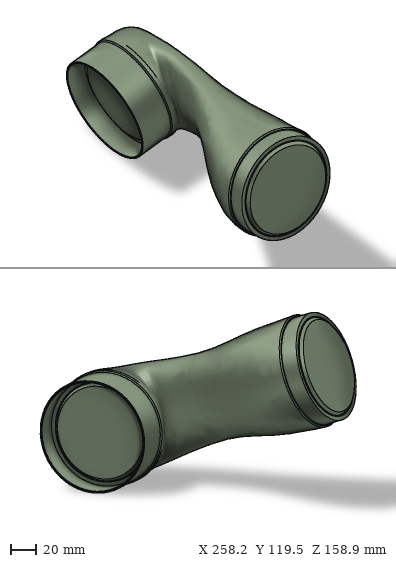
import cadquery as cq

TURN_ANGLE = -7.0
TILT_ANGLE = -20.0

SOCKET_RADIUS = 45.7
SOCKET_WALL = 1.5
SOCKET_LENGTH = 29.5
SOCKET_DEPTH = 18.0
MOUTH_CHAMFER = 0.5

COLLAR_RADIUS = 46.7
COLLAR_LENGTH = 4.5
COLLAR_END_Y = SOCKET_LENGTH + COLLAR_LENGTH

SPIGOT_RADIUS = SOCKET_RADIUS - SOCKET_WALL
SPIGOT_LENGTH = 13.7
SPIGOT_END_X = 208.5
SPIGOT_AXIS_Y = 21.2

RIM_RADIUS = 46.0
RIM_THICKNESS = 1.3
RIM_END_X = SPIGOT_END_X - SPIGOT_LENGTH
RIM_START_X = RIM_END_X - RIM_THICKNESS

SHOULDER_CHAMFER = 1.0

PLUG_RADIUS = 40.0
PLUG_CHAMFER = 2.3
PLUG_PROTRUSION = 2.5
SEAT_DEPTH = 10.3
SEAT_CHAMFER = 0.8
PLUG_LENGTH = SEAT_DEPTH + PLUG_PROTRUSION

ARM_SECTIONS = [
    ((COLLAR_RADIUS, COLLAR_END_Y), (-COLLAR_RADIUS, COLLAR_END_Y), COLLAR_RADIUS),
    ((46.7, 35.0), (-45.0, 51.5), 45.7),
    ((46.7, 35.5), (-38.2, 64.0), 44.0),
    ((47.0, 36.0), (-15.5, 69.5), 42.3),
    ((48.0, 36.5), (10.3, 70.0), 41.0),
    ((49.5, 37.0), (33.5, 69.0), 39.7),
    ((54.2, 36.4), (54.2, 67.5), 38.2),
    ((77.5, 31.0), (77.5, 65.3), 36.4),
    ((103.2, 18.8), (103.2, 64.5), 36.5),
    ((129.0, 2.5), (129.0, 64.7), 40.0),
    ((154.8, -12.5), (154.8, 65.8), 43.3),
    ((180.5, -23.0), (180.5, 66.5), 45.1),
    (
        (RIM_START_X, SPIGOT_AXIS_Y - RIM_RADIUS),
        (RIM_START_X, SPIGOT_AXIS_Y + RIM_RADIUS),
        RIM_RADIUS,
    ),
]


def socket_cylinder(radius, start_y, length):
    """Cylinder on the socket's axis, from start_y towards +Y."""
    return cq.Workplane("XZ", origin=(0, start_y, 0)).circle(radius).extrude(-length)


def spigot_cylinder(radius, start_x, length):
    """Cylinder on the spigot's axis, from start_x towards +X."""
    return cq.Workplane("YZ", origin=(start_x, SPIGOT_AXIS_Y, 0)).circle(radius).extrude(length)


def arm_section(inner_point, outer_point, half_width):
    """Ellipse square to the plane of symmetry, with its seam at the inner point."""
    inner = cq.Vector(*inner_point)
    outer = cq.Vector(*outer_point)
    across = outer - inner
    centre = (inner + outer) * 0.5
    sideways = cq.Vector(0, 0, 1)
    normal = across.cross(sideways)
    quarter_turn = 90
    return cq.Wire.makeEllipse(
        half_width, across.Length / 2, centre, normal, sideways, quarter_turn, quarter_turn + 360
    )


def make_limb():
    """The freely curved part of the arm."""
    return cq.Workplane(cq.Solid.makeLoft([arm_section(*section) for section in ARM_SECTIONS]))


def make_collar():
    collar = socket_cylinder(COLLAR_RADIUS, SOCKET_LENGTH, COLLAR_LENGTH)
    return collar.faces("<Y").chamfer(SHOULDER_CHAMFER)


def make_rim():
    rim = spigot_cylinder(RIM_RADIUS, RIM_START_X, RIM_THICKNESS)
    return rim.faces(">X").chamfer(SHOULDER_CHAMFER)


def make_socket():
    """Solid up to the collar's end, with the bore and its chamfered mouth cut in."""
    socket = socket_cylinder(SOCKET_RADIUS, 0, SOCKET_LENGTH)
    bore = socket_cylinder(SPIGOT_RADIUS, 0, SOCKET_DEPTH)
    return socket.cut(bore).faces("<Y").chamfer(MOUTH_CHAMFER)


def seat_mouth(centre, inward):
    """Shallow cone that chamfers the mouth of a plug's seat."""
    mouth_radius = PLUG_RADIUS + SEAT_CHAMFER
    return cq.Workplane(cq.Solid.makeCone(mouth_radius, PLUG_RADIUS, SEAT_CHAMFER, centre, inward))


def make_socket_seat():
    seat = socket_cylinder(PLUG_RADIUS, SOCKET_DEPTH, SEAT_DEPTH)
    return seat.union(seat_mouth(cq.Vector(0, SOCKET_DEPTH, 0), cq.Vector(0, 1, 0)))


def make_spigot_seat():
    seat = spigot_cylinder(PLUG_RADIUS, SPIGOT_END_X - SEAT_DEPTH, SEAT_DEPTH)
    return seat.union(seat_mouth(cq.Vector(SPIGOT_END_X, SPIGOT_AXIS_Y, 0), cq.Vector(-1, 0, 0)))


def make_spigot():
    return spigot_cylinder(SPIGOT_RADIUS, RIM_END_X, SPIGOT_LENGTH)


def make_arm():
    arm = make_limb().union(make_collar()).union(make_socket())
    arm = arm.union(make_rim()).union(make_spigot())
    return arm.cut(make_socket_seat()).cut(make_spigot_seat())


def make_socket_plug():
    plug = socket_cylinder(PLUG_RADIUS, SOCKET_DEPTH - PLUG_PROTRUSION, PLUG_LENGTH)
    return plug.faces("<Y").chamfer(PLUG_CHAMFER)


def make_spigot_plug():
    plug = spigot_cylinder(PLUG_RADIUS, SPIGOT_END_X - SEAT_DEPTH, PLUG_LENGTH)
    return plug.faces(">X").chamfer(PLUG_CHAMFER)


def pose(body):
    turned = body.rotate((0, 0, 0), (0, 0, 1), TURN_ANGLE)
    return turned.rotate((0, 0, 0), (0, 1, 0), TILT_ANGLE)


arm = pose(make_arm())
socket_plug = pose(make_socket_plug())
spigot_plug = pose(make_spigot_plug())

result = cq.Compound.makeCompound([arm.val(), socket_plug.val(), spigot_plug.val()])